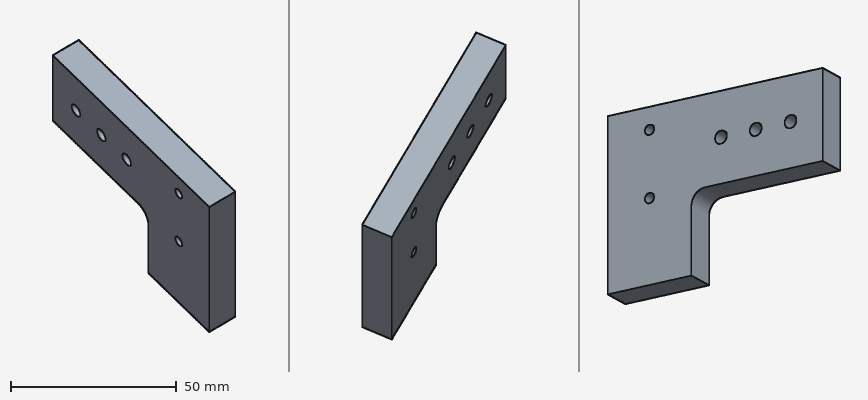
import cadquery as cq

length = 77.0
thickness = 10.0
height = 57.5

limb_width = 30.0
inner_corner_radius = 5.0

row_hole_diameter = 4.2
row_hole_count = 3
row_first_from_left = 11.5
row_pitch = 12.5

pair_hole_diameter = 3.3
pair_upper_from_top = 7.5
pair_pitch = 22.0


def l_plate():
    """L-shaped plate with its lower left outer corner at the XZ origin."""
    leg_left = length - limb_width
    arm_bottom = height - limb_width
    outline = [
        (leg_left, 0),
        (length, 0),
        (length, height),
        (0, height),
        (0, arm_bottom),
        (leg_left, arm_bottom),
    ]
    plate = cq.Workplane("XZ").polyline(outline).close().extrude(-thickness)
    inner_edge = cq.selectors.NearestToPointSelector((leg_left, thickness / 2, arm_bottom))
    return plate.edges(inner_edge).fillet(inner_corner_radius)


def through_holes(centers, diameter):
    """Cylinders through the thickness at the given (x, z) centers."""
    return cq.Workplane("XZ").pushPoints(centers).circle(diameter / 2).extrude(-thickness)


row_z = height - limb_width / 2
row_centers = [(row_first_from_left + i * row_pitch, row_z) for i in range(row_hole_count)]

pair_x = length - limb_width / 2
pair_upper_z = height - pair_upper_from_top
pair_centers = [(pair_x, pair_upper_z), (pair_x, pair_upper_z - pair_pitch)]

result = (
    l_plate()
    .cut(through_holes(row_centers, row_hole_diameter))
    .cut(through_holes(pair_centers, pair_hole_diameter))
)